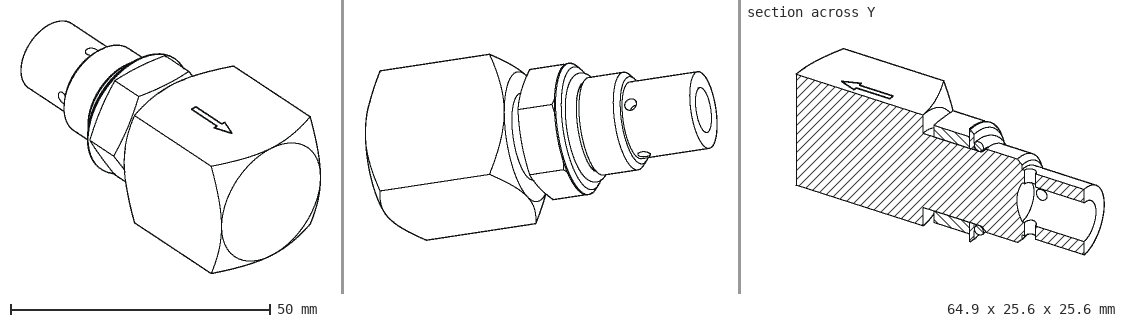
import cadquery as cq
import math

TOTAL_LENGTH = 64.9
SHOULDER_X = 13.95
O_RING_GROOVE_X = 22.05
WASHER_X = 24.8
NUT_X = 25.9
NUT_END_X = 33.9
BLOCK_X = 36.3

BLOCK_SIDE = 25.3
BLOCK_CHAMFER_DIAMETER = BLOCK_SIDE
BLOCK_CHAMFER_ANGLE = 30.0
NOSE_DIAMETER = 15.0
COLLAR_DIAMETER = 19.1
COLLAR_CHAMFER = 1.05
STEM_DIAMETER = 17.0
BORE_DIAMETER = 8.75
BORE_DEPTH = SHOULDER_X
BORE_END_SPHERE_DIAMETER = 17.5
CROSS_HOLE_DIAMETER = 2.4
CROSS_HOLE_X = 12.2

ARROW_TAIL_X = 44.85
ARROW_HEAD_X = 52.45
ARROW_TIP_X = 56.15
ARROW_CENTER_Y = -2.35
ARROW_SHAFT_WIDTH = 1.2
ARROW_HEAD_WIDTH = 2.7
ARROW_DEPTH = 0.1

O_RING_SECTION = 2.15
O_RING_X = WASHER_X - O_RING_SECTION / 2
WASHER_DIAMETER = 25.65
WASHER_CHAMFER = 0.85
NUT_ACROSS_FLATS = 22.2
NUT_CHAMFER_DIAMETER = 22.05
NUT_CHAMFER_ANGLE = 15.0

ENVELOPE_MARGIN = 1.1


def revolve_about_x(profile):
    return profile.close().revolve(360, (0, 0, 0), (1, 0, 0))


def rod(start_x, end_x, diameter):
    return cq.Workplane("YZ", origin=(start_x, 0, 0)).circle(diameter / 2).extrude(end_x - start_x)


def double_cone_envelope(start_x, end_x, end_diameter, angle, outer_diameter):
    """Round envelope whose two ends taper from outer_diameter down to end_diameter."""
    end_radius = end_diameter / 2
    outer_radius = outer_diameter / 2
    taper = (outer_radius - end_radius) * math.tan(math.radians(angle))
    return revolve_about_x(
        cq.Workplane("XY")
        .moveTo(start_x, 0)
        .lineTo(start_x, end_radius)
        .lineTo(start_x + taper, outer_radius)
        .lineTo(end_x - taper, outer_radius)
        .lineTo(end_x, end_radius)
        .lineTo(end_x, 0)
    )


def make_block():
    length = TOTAL_LENGTH - BLOCK_X
    prism = cq.Workplane("YZ", origin=(BLOCK_X, 0, 0)).rect(BLOCK_SIDE, BLOCK_SIDE).extrude(length)
    outer_diameter = ENVELOPE_MARGIN * BLOCK_SIDE * math.sqrt(2)
    return prism.intersect(
        double_cone_envelope(
            BLOCK_X, TOTAL_LENGTH, BLOCK_CHAMFER_DIAMETER, BLOCK_CHAMFER_ANGLE, outer_diameter
        )
    )


def make_stem():
    nose_radius = NOSE_DIAMETER / 2
    collar_radius = COLLAR_DIAMETER / 2
    stem_radius = STEM_DIAMETER / 2
    groove_slope = collar_radius - stem_radius
    return revolve_about_x(
        cq.Workplane("XY")
        .lineTo(0, nose_radius)
        .lineTo(SHOULDER_X, nose_radius)
        .lineTo(SHOULDER_X, collar_radius - COLLAR_CHAMFER)
        .lineTo(SHOULDER_X + COLLAR_CHAMFER, collar_radius)
        .lineTo(O_RING_GROOVE_X, collar_radius)
        .lineTo(O_RING_GROOVE_X + groove_slope, stem_radius)
        .lineTo(BLOCK_X, stem_radius)
        .lineTo(BLOCK_X, 0)
    )


def make_bore():
    bore_radius = BORE_DIAMETER / 2
    sphere_radius = BORE_END_SPHERE_DIAMETER / 2
    half_angle = math.asin(bore_radius / sphere_radius)
    center_x = BORE_DEPTH - sphere_radius * math.cos(half_angle)
    bowl_middle = (
        center_x + sphere_radius * math.cos(half_angle / 2),
        sphere_radius * math.sin(half_angle / 2),
    )
    return revolve_about_x(
        cq.Workplane("XY")
        .lineTo(0, bore_radius)
        .lineTo(BORE_DEPTH, bore_radius)
        .threePointArc(bowl_middle, (center_x + sphere_radius, 0))
    )


def make_cross_holes():
    along_z = (
        cq.Workplane("XY")
        .center(CROSS_HOLE_X, 0)
        .circle(CROSS_HOLE_DIAMETER / 2)
        .extrude(NOSE_DIAMETER, both=True)
    )
    along_y = along_z.rotate((0, 0, 0), (1, 0, 0), 90)
    return along_z.union(along_y)


def make_arrow():
    half_shaft = ARROW_SHAFT_WIDTH / 2
    half_head = ARROW_HEAD_WIDTH / 2
    return (
        cq.Workplane("XY", origin=(0, ARROW_CENTER_Y, BLOCK_SIDE / 2))
        .moveTo(ARROW_TAIL_X, half_shaft)
        .lineTo(ARROW_HEAD_X, half_shaft)
        .lineTo(ARROW_HEAD_X, half_head)
        .lineTo(ARROW_TIP_X, 0)
        .lineTo(ARROW_HEAD_X, -half_head)
        .lineTo(ARROW_HEAD_X, -half_shaft)
        .lineTo(ARROW_TAIL_X, -half_shaft)
        .close()
        .extrude(-ARROW_DEPTH)
    )


def make_body():
    solid = make_block().union(make_stem())
    return solid.cut(make_bore()).cut(make_cross_holes()).cut(make_arrow())


def make_o_ring():
    ring_radius = (STEM_DIAMETER + O_RING_SECTION) / 2
    return (
        cq.Workplane("XY")
        .center(O_RING_X, ring_radius)
        .circle(O_RING_SECTION / 2)
        .revolve(360, (0, -ring_radius, 0), (1, -ring_radius, 0))
    )


def make_washer():
    disc = rod(WASHER_X, NUT_X, WASHER_DIAMETER).faces("<X").chamfer(WASHER_CHAMFER)
    return disc.cut(rod(WASHER_X, NUT_X, STEM_DIAMETER))


def make_nut():
    corner_diameter = NUT_ACROSS_FLATS / math.cos(math.radians(30))
    hexagon = (
        cq.Workplane("YZ", origin=(NUT_X, 0, 0)).polygon(6, corner_diameter).extrude(NUT_END_X - NUT_X)
    )
    envelope = double_cone_envelope(
        NUT_X, NUT_END_X, NUT_CHAMFER_DIAMETER, NUT_CHAMFER_ANGLE, ENVELOPE_MARGIN * corner_diameter
    )
    return hexagon.intersect(envelope).cut(rod(NUT_X, NUT_END_X, STEM_DIAMETER))


body = make_body()
o_ring = make_o_ring()
washer = make_washer()
nut = make_nut()

result = cq.Compound.makeCompound([body.val(), o_ring.val(), washer.val(), nut.val()])